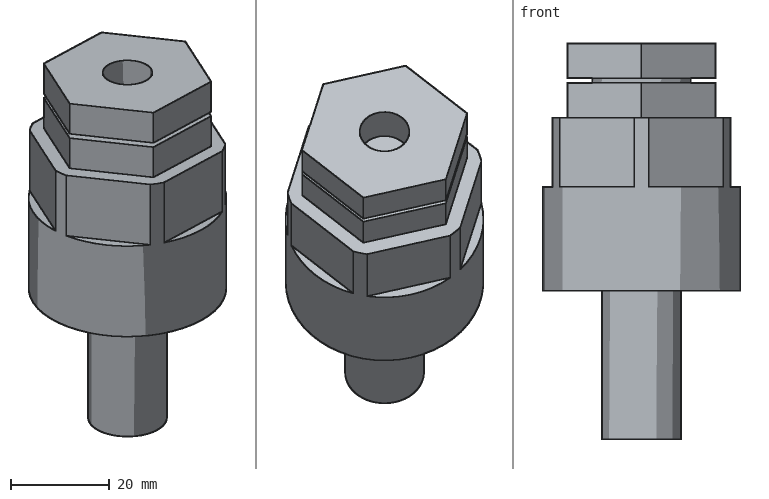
import cadquery as cq
import math

total_length = 80
stem_length = 30.0
head_length = 42.0
flange_height = head_length / 2
large_hex_height = head_length / 3
small_hex_height = head_length - flange_height - large_hex_height
housing_top = stem_length + head_length
stud_height = total_length - housing_top
stud_hex_height = small_hex_height
neck_height = stud_height - stud_hex_height

flange_diameter = 40
stem_diameter = 16
large_hex_width = 36
small_hex_width = 30.0
neck_diameter = flange_diameter / 2
bore_diameter = 10.0


def cylinder(diameter, height, base_z):
    return cq.Workplane("XY").workplane(offset=base_z).circle(diameter / 2).extrude(height)


def hexagon(width_across_flats, height, base_z):
    """Hexagonal prism with two flats facing +X and -X."""
    corner_diameter = width_across_flats / math.cos(math.pi / 6)
    prism = cq.Workplane("XY").workplane(offset=base_z).polygon(6, corner_diameter).extrude(height)
    return prism.rotate((0, 0, 0), (0, 0, 1), 30)


def make_housing():
    """Stem, round flange, large hexagon with rounded corners and small hexagon."""
    large_hex_base = stem_length + flange_height
    small_hex_base = large_hex_base + large_hex_height
    stem = cylinder(stem_diameter, stem_length, 0)
    flange = cylinder(flange_diameter, flange_height, stem_length)
    large_hex = hexagon(large_hex_width, large_hex_height, large_hex_base).intersect(
        cylinder(flange_diameter, large_hex_height, large_hex_base)
    )
    small_hex = hexagon(small_hex_width, small_hex_height, small_hex_base)
    return stem.union(flange).union(large_hex).union(small_hex)


def make_stud():
    """Hexagonal head on a short round neck, with a bore through both."""
    neck = cylinder(neck_diameter, neck_height, housing_top)
    head = hexagon(small_hex_width, stud_hex_height, housing_top + neck_height)
    bore = cylinder(bore_diameter, stud_height, housing_top)
    return neck.union(head).cut(bore)


housing = make_housing()
stud = make_stud()

result = cq.Compound.makeCompound([housing.val(), stud.val()])